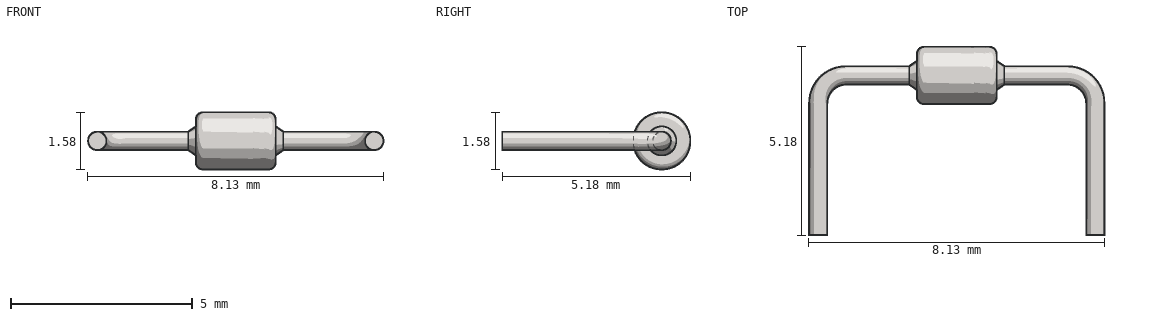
import cadquery as cq

lead_pitch = 7.62
lead_diameter = 0.51
leg_reach = 4.39
bend_radius = 0.765
body_diameter = 1.58
body_length = 2.2
body_edge_radius = 0.2
collar_length = 0.21
collar_base_radius = 0.4
band_start = 0.48
band_end = 0.79

lead_radius = lead_diameter / 2
body_radius = body_diameter / 2
half_pitch = lead_pitch / 2
half_body = body_length / 2
collar_tip = half_body + collar_length


def make_body():
    """Round-edged glass body with a tapered collar at each end, revolved about X."""
    barrel_end = half_body - body_edge_radius
    flat_radius = body_radius - body_edge_radius
    profile = (
        cq.Workplane("XZ")
        .moveTo(-collar_tip, 0)
        .lineTo(-collar_tip, lead_radius)
        .lineTo(-half_body, collar_base_radius)
        .lineTo(-half_body, flat_radius)
        .radiusArc((-barrel_end, body_radius), body_edge_radius)
        .lineTo(band_start, body_radius)
        .lineTo(band_end, body_radius)
        .lineTo(barrel_end, body_radius)
        .radiusArc((half_body, flat_radius), body_edge_radius)
        .lineTo(half_body, collar_base_radius)
        .lineTo(collar_tip, lead_radius)
        .lineTo(collar_tip, 0)
        .close()
    )
    return profile.revolve(360, (0, 0, 0), (1, 0, 0), clean=False)


def make_lead(side):
    """Round wire from the collar tip, bent a quarter turn to -Y; side is -1 or 1."""
    start_x = side * collar_tip
    bend_start_x = side * (half_pitch - bend_radius)
    path = (
        cq.Workplane("XY")
        .moveTo(start_x, 0)
        .lineTo(bend_start_x, 0)
        .tangentArcPoint((side * half_pitch, -bend_radius), relative=False)
        .lineTo(side * half_pitch, -leg_reach)
    )
    section = cq.Workplane("YZ", origin=(start_x, 0, 0)).circle(lead_radius)
    return section.sweep(path)


result = make_body()
for lead_side in (-1, 1):
    result = result.union(make_lead(lead_side), clean=False)